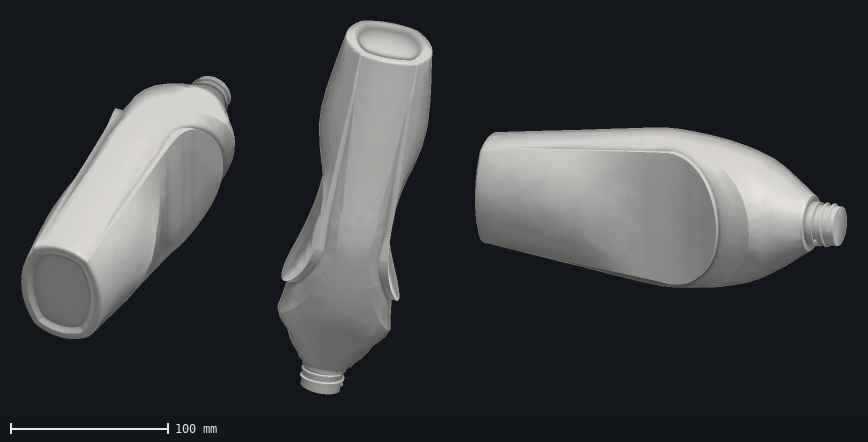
import cadquery as cq
import math


LENGTH = 238.5
TOP_Y = LENGTH / 2
BASE_Y = -LENGTH / 2

NECK_RADIUS = 12.6
COLLAR_RADIUS = 14.0
NECK_LENGTH = 19.0
COLLAR_LENGTH = 5.0
NECK_SINK = 2.5
SHOULDER_Y = TOP_Y - NECK_LENGTH

THREAD_PITCH = 5.0
THREAD_TURNS = 1.9
THREAD_HEIGHT = 1.5
THREAD_ROOT_WIDTH = 2.1
THREAD_CREST_WIDTH = 0.7
THREAD_SINK = 0.5
THREAD_START = 3.3

FOOT_ROUND = 2.1
FOOT_Y = BASE_Y + FOOT_ROUND
FOOT_HALF_WIDTH = 28.1
FOOT_HALF_HEIGHT = 35.8
FOOT_CORNER_X = 18.8
FOOT_CORNER_Z = 29.8
CORNER_ANGLE = math.radians(45)
ROUND_STEPS = 4
HOLLOW_INSET = 5.0
HOLLOW_FLOOR_INSET = 8.3
HOLLOW_DEPTH = 2.5

SHOULDER_SECTIONS = [
    (SHOULDER_Y, 17.6, 18.0),
    (94.2, 21.7, 22.0),
    (85.9, 27.0, 28.0),
    (78.7, 32.0, 32.7),
]

RIM_CENTRE_Y = 2.5
RIM_LENGTH = 69.2
RIM_HALF_HEIGHT = 49.4

BAND_SECTIONS = [
    (2, 36.5, 37.0, 36.5, 36.5, 0.7),
    (20, 37.0, 39.4, 35.8, 34.8, 10.5),
    (35, 37.2, 42.7, 34.5, 31.5, 19.3),
    (50, 37.2, 46.3, 32.2, 27.7, 28.5),
    (65, 37.2, 49.1, 26.2, 23.8, 36.5),
    (80, 37.2, 51.0, 21.0, 18.1, 43.0),
    (90, 37.2, 51.5, 20.0, 17.2, 43.5),
]

WAIST_SECTION = (-16.7, 47.2, 37.2, 49.5, 20.0, 17.5, 41.7)
FOOT_SECTION = (FOOT_Y, 29.5, 33.5, FOOT_HALF_HEIGHT, 20.0, 19.5, 27.5)

OUTER_REACH = 59.6

PANEL_SECTIONS = [
    (50.0, 38.5, 38.2),
    (31.0, 28.9, 28.6),
    (15.5, 24.5, 24.3),
    (0.0, 23.0, 22.5),
    (-14.3, 23.4, 22.0),
    (-28.6, 26.7, 21.5),
    (-47.7, 32.2, 21.0),
    (-66.8, 34.3, 20.3),
    (-95.5, 31.5, 19.0),
    (FOOT_Y, 28.1, 18.8),
]
PANEL_TIP_Y = 49.5
PANEL_SHOULDER_Y = 12.0
PANEL_SHOULDER_Z = 43.5
PANEL_BEND_Y = -95.5
PANEL_BEND_Z = 33.6
PANEL_BASE_Z = FOOT_CORNER_Z


def plane_at(y):
    """Section plane across the bottle: local x is X, local y is Z."""
    return cq.Workplane("XZ", origin=(0, y, 0))


def loft(wires, ruled=False):
    """Solid through the given section wires."""
    return cq.Workplane(
        cq.occ_impl.shapes.loft(*wires, cap=True, ruled=ruled, parametrization="chordal")
    )


def ellipse(y, half_width, half_height):
    return plane_at(y).ellipse(half_width, half_height).val()


def curved_band_sections():
    """Band sections as (y, rim z, body half width, body half height, floor, inner x, inner z)."""
    sections = []
    for degrees, *sizes in BAND_SECTIONS:
        angle = math.radians(degrees)
        y = RIM_CENTRE_Y + RIM_LENGTH * math.cos(angle)
        sections.append((y, RIM_HALF_HEIGHT * math.sin(angle), *sizes))
    return sections + [WAIST_SECTION]


def body_wire(y, rim_z, half_width, half_height, *floor_sizes):
    return ellipse(y, half_width, half_height)


def recess_wire(y, rim_z, half_width, half_height, floor_x, inner_x, inner_z):
    """Outline kept by the recesses: their floors inside the rims, clear of the body elsewhere."""
    rim_x = half_width * math.sqrt(1 - (rim_z / half_height) ** 2)
    return (
        plane_at(y)
        .moveTo(-OUTER_REACH, OUTER_REACH)
        .lineTo(OUTER_REACH, OUTER_REACH)
        .lineTo(OUTER_REACH, rim_z)
        .lineTo(rim_x, rim_z)
        .spline([(inner_x, inner_z), (floor_x, 0), (inner_x, -inner_z), (rim_x, -rim_z)],
                includeCurrent=True)
        .lineTo(OUTER_REACH, -rim_z)
        .lineTo(OUTER_REACH, -OUTER_REACH)
        .lineTo(-OUTER_REACH, -OUTER_REACH)
        .lineTo(-OUTER_REACH, -rim_z)
        .lineTo(-rim_x, -rim_z)
        .spline([(-inner_x, -inner_z), (-floor_x, 0), (-inner_x, inner_z), (-rim_x, rim_z)],
                includeCurrent=True)
        .lineTo(-OUTER_REACH, rim_z)
        .close()
        .val()
    )


def make_recessed_body():
    curved = curved_band_sections()
    shoulder = [ellipse(*section) for section in SHOULDER_SECTIONS]
    upper = loft(shoulder + [body_wire(*section) for section in curved])
    tip_y = curved[0][0]
    above_tip = plane_at(tip_y).rect(LENGTH, LENGTH).extrude(-LENGTH)
    kept = loft([recess_wire(*section) for section in curved])
    taper = (WAIST_SECTION, FOOT_SECTION)
    lower = loft([body_wire(*section) for section in taper], ruled=True)
    lower_kept = loft([recess_wire(*section) for section in taper], ruled=True)
    return (
        upper.intersect(above_tip)
        .union(upper.intersect(kept))
        .union(lower.intersect(lower_kept))
    )


def panel_edge_z(y):
    """Half height of the panel along its straight taper."""
    if y < PANEL_BEND_Y:
        slope = (PANEL_BEND_Z - PANEL_BASE_Z) / (PANEL_BEND_Y - BASE_Y)
    else:
        slope = (PANEL_SHOULDER_Z - PANEL_BEND_Z) / (PANEL_SHOULDER_Y - PANEL_BEND_Y)
    return PANEL_BEND_Z + slope * (y - PANEL_BEND_Y)


def panel_wire(y, middle_x, edge_x):
    edge_z = panel_edge_z(y)
    return (
        plane_at(y)
        .moveTo(edge_x, edge_z)
        .threePointArc((middle_x, 0), (edge_x, -edge_z))
        .lineTo(-edge_x, -edge_z)
        .threePointArc((-middle_x, 0), (-edge_x, edge_z))
        .close()
        .val()
    )


def make_panels():
    slab = loft([panel_wire(*section) for section in PANEL_SECTIONS])
    tip_length = PANEL_TIP_Y - PANEL_SHOULDER_Y
    outline = (
        cq.Workplane("YZ")
        .moveTo(BASE_Y, -PANEL_BASE_Z)
        .lineTo(PANEL_BEND_Y, -PANEL_BEND_Z)
        .lineTo(PANEL_SHOULDER_Y, -PANEL_SHOULDER_Z)
        .ellipseArc(tip_length, PANEL_SHOULDER_Z, -90, 90, startAtCurrent=True)
        .lineTo(PANEL_BEND_Y, PANEL_BEND_Z)
        .lineTo(BASE_Y, PANEL_BASE_Z)
        .close()
        .extrude(LENGTH / 2, both=True)
    )
    return slab.intersect(outline)


def make_neck():
    neck = plane_at(TOP_Y).circle(NECK_RADIUS).extrude(NECK_LENGTH + NECK_SINK)
    collar_y = SHOULDER_Y + COLLAR_LENGTH
    collar = plane_at(collar_y).circle(COLLAR_RADIUS).extrude(COLLAR_LENGTH + NECK_SINK)
    return neck.union(collar)


def make_thread():
    root = NECK_RADIUS - THREAD_SINK
    path = cq.Wire.makeHelix(THREAD_PITCH, THREAD_PITCH * THREAD_TURNS, root)
    profile = (
        cq.Workplane("XZ")
        .moveTo(root, -THREAD_ROOT_WIDTH / 2)
        .lineTo(NECK_RADIUS + THREAD_HEIGHT, -THREAD_CREST_WIDTH / 2)
        .lineTo(NECK_RADIUS + THREAD_HEIGHT, THREAD_CREST_WIDTH / 2)
        .lineTo(root, THREAD_ROOT_WIDTH / 2)
        .close()
    )
    thread = profile.sweep(cq.Workplane(path), isFrenet=True)
    return thread.rotate((0, 0, 0), (1, 0, 0), 90).translate((0, TOP_Y - THREAD_START, 0))


def foot_wire(y, inset):
    """Foot outline drawn in by an inset."""
    width = FOOT_HALF_WIDTH - inset
    height = FOOT_HALF_HEIGHT - inset
    corner_x = FOOT_CORNER_X - inset * math.cos(CORNER_ANGLE)
    corner_z = FOOT_CORNER_Z - inset * math.sin(CORNER_ANGLE)
    return (
        plane_at(y)
        .moveTo(corner_x, corner_z)
        .threePointArc((width, 0), (corner_x, -corner_z))
        .threePointArc((0, -height), (-corner_x, -corner_z))
        .threePointArc((-width, 0), (-corner_x, corner_z))
        .threePointArc((0, height), (corner_x, corner_z))
        .close()
        .val()
    )


def make_foot():
    """Rounded foot, and the hollow to cut from it."""
    wires = []
    for step in range(ROUND_STEPS + 1):
        angle = math.radians(90 * step / ROUND_STEPS)
        y = FOOT_Y - FOOT_ROUND * math.sin(angle)
        wires.append(foot_wire(y, FOOT_ROUND * (1 - math.cos(angle))))
    hollow = loft([
        foot_wire(BASE_Y, HOLLOW_INSET),
        foot_wire(BASE_Y + HOLLOW_DEPTH, HOLLOW_FLOOR_INSET),
    ])
    return loft(wires), hollow


foot, foot_hollow = make_foot()
body = make_recessed_body().union(make_panels())
body = body.union(foot).cut(foot_hollow)
result = body.union(make_neck()).union(make_thread())